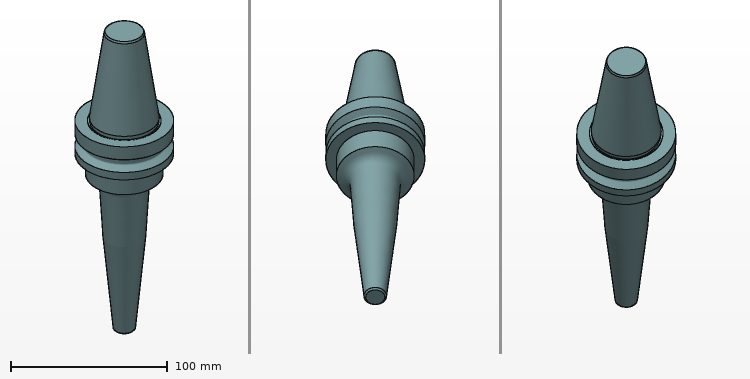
import cadquery as cq
import math

total_height = 225.5
gauge_z = 160
flange_top_z = 158.0
flange_bottom_z = 133
neck_top_z = 108.9
nose_top_z = 70.3

taper_ratio = 7 / 24
gauge_radius = 22.3
top_chamfer_height = 1.4
top_chamfer_width = 0.7
shank_relief = 0.2
relief_height = 1.0
face_groove_radius = 23.5
face_groove_depth = 0.7

flange_radius = 31.5
groove_radius = 26.8
upper_rim_height = 10.0
lower_rim_height = 5.6
groove_flank_height = 2.7
groove_root_fillet = 1.0

body_radius = 24.8
neck_radius = 16.0
nose_radius = 13.7
tip_radius = 7.2
tip_chamfer = 1.1
neck_fillet_radius = 7.7
shoulder_slope = math.radians(20)


def revolve_profile(profile):
    """Turn a closed radius-height outline around the Z axis."""
    return profile.close().revolve(360, (0, 0), (0, 1))


def make_shank():
    """Spindle taper with a chamfered top and a relieved root."""
    chamfer_z = total_height - top_chamfer_height
    small_radius = gauge_radius - (chamfer_z - gauge_z) * taper_ratio / 2
    relief_radius = gauge_radius - shank_relief
    return revolve_profile(
        cq.Workplane("XZ")
        .moveTo(0, flange_bottom_z)
        .lineTo(relief_radius, flange_bottom_z)
        .lineTo(relief_radius, gauge_z - relief_height)
        .lineTo(gauge_radius, gauge_z)
        .lineTo(small_radius, chamfer_z)
        .lineTo(small_radius - top_chamfer_width, total_height)
        .lineTo(0, total_height)
    )


def make_flange():
    """Flange with a gripper groove and a shallow groove in its upper face."""
    upper_rim_z = flange_top_z - upper_rim_height
    lower_rim_z = flange_bottom_z + lower_rim_height
    face_groove_z = flange_top_z - face_groove_depth
    flange = revolve_profile(
        cq.Workplane("XZ")
        .moveTo(0, flange_bottom_z)
        .lineTo(flange_radius, flange_bottom_z)
        .lineTo(flange_radius, lower_rim_z)
        .lineTo(groove_radius, lower_rim_z + groove_flank_height)
        .lineTo(groove_radius, upper_rim_z - groove_flank_height)
        .lineTo(flange_radius, upper_rim_z)
        .lineTo(flange_radius, flange_top_z)
        .lineTo(face_groove_radius, flange_top_z)
        .lineTo(face_groove_radius, face_groove_z)
        .lineTo(0, face_groove_z)
    )
    root_edges = flange.edges("%CIRCLE").filter(
        lambda edge: math.isclose(edge.radius(), groove_radius)
    )
    return root_edges.fillet(groove_root_fillet)


def make_holder():
    """Cylindrical body, filleted shoulder, and the neck and nose cones."""
    fillet_center = neck_radius + neck_fillet_radius

    def fillet_point(angle):
        radius = fillet_center - neck_fillet_radius * math.cos(angle)
        return radius, neck_top_z + neck_fillet_radius * math.sin(angle)

    fillet_end_angle = math.pi / 2 - shoulder_slope
    fillet_end = fillet_point(fillet_end_angle)
    shoulder_rise = (body_radius - fillet_end[0]) * math.tan(shoulder_slope)
    shoulder_z = fillet_end[1] + shoulder_rise
    return revolve_profile(
        cq.Workplane("XZ")
        .lineTo(tip_radius - tip_chamfer, 0)
        .lineTo(tip_radius, tip_chamfer)
        .lineTo(nose_radius, nose_top_z)
        .lineTo(neck_radius, neck_top_z)
        .threePointArc(fillet_point(fillet_end_angle / 2), fillet_end)
        .lineTo(body_radius, shoulder_z)
        .lineTo(body_radius, flange_bottom_z)
        .lineTo(0, flange_bottom_z)
    )


result = make_holder().union(make_flange()).union(make_shank())